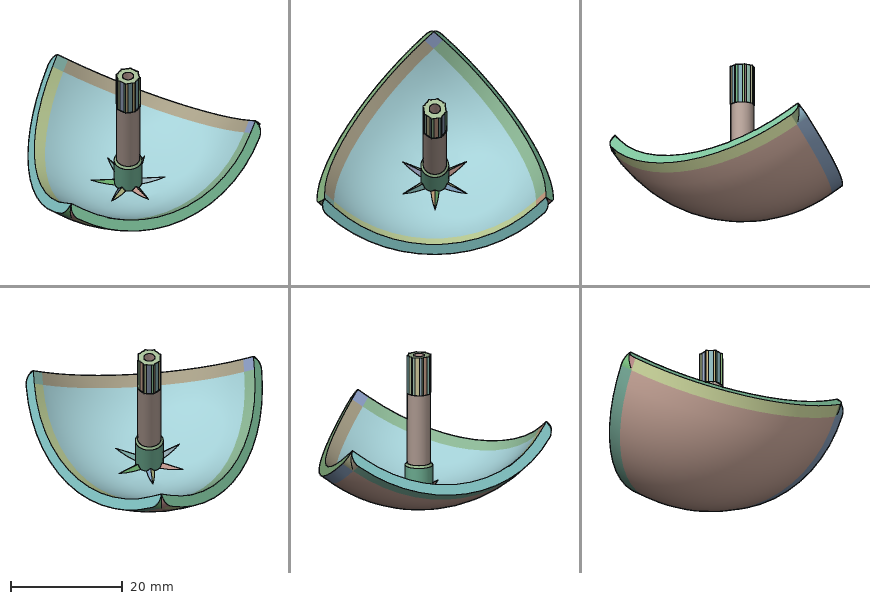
import cadquery as cq
import math

outer_radius = 27.6
wall = 2.0
inner_radius = outer_radius - wall
rim_width = 2.4

stem_top = 0.2
shaft_radius = 4.2 / 2
collar_radius = 5.0 / 2
collar_shoulder = -20.25
collar_chamfer = collar_radius - shaft_radius
stem_bottom = -(inner_radius + wall / 2)

head_length = 7.05
tooth_count = 8
tooth_tip_radius = 2.228
tooth_root_radius = 1.975
tooth_half_angle = math.radians(10)
bore_diameter = 2.0

rib_count = 6
rib_reach = 6.6
ridge_height = -math.sqrt(inner_radius**2 - rib_reach**2)


def polar(radius, angle):
    return (radius * math.cos(angle), radius * math.sin(angle))


def octant_shell():
    """Sphere wall in the all-positive octant."""
    octant = cq.Workplane("XY").box(outer_radius * 2, outer_radius * 2, outer_radius * 2, centered=False)
    ball = cq.Workplane("XY").sphere(outer_radius)
    cavity = cq.Workplane("XY").sphere(inner_radius)
    return ball.cut(cavity).intersect(octant)


def rim_strip():
    """Quarter ring below the XY plane, with tangent ends rounded on the outside."""
    round_centre = outer_radius - rim_width
    end_length = math.sqrt(rim_width**2 - (inner_radius - round_centre) ** 2)
    half_turn = math.asin(end_length / rim_width) / 2
    mid_along, mid_beyond = polar(rim_width, half_turn)
    mid_along += round_centre
    diagonal = math.radians(45)
    return (
        cq.Workplane("XY")
        .moveTo(outer_radius, 0)
        .threePointArc(polar(outer_radius, diagonal), (0, outer_radius))
        .threePointArc((-mid_beyond, mid_along), (-end_length, inner_radius))
        .lineTo(0, inner_radius)
        .threePointArc(polar(inner_radius, diagonal), (inner_radius, 0))
        .lineTo(inner_radius, -end_length)
        .threePointArc((mid_along, -mid_beyond), (outer_radius, 0))
        .close()
        .extrude(-rim_width)
    )


def shell():
    """Octant with three rim strips, turned so its diagonal points to -Z and one corner to -X."""
    body = octant_shell()
    strip = rim_strip()
    for turn in range(3):
        body = body.union(strip.rotate((0, 0, 0), (1, 1, 1), 120 * turn))
    diagonal_tilt = 180 - math.degrees(math.acos(1 / math.sqrt(3)))
    return (
        body.rotate((0, 0, 0), (0, 0, 1), -45)
        .rotate((0, 0, 0), (0, 1, 0), diagonal_tilt)
        .rotate((0, 0, 0), (0, 0, 1), 180)
    )


def stem():
    """Shaft and chamfered collar, revolved about Z."""
    return (
        cq.Workplane("XZ")
        .moveTo(0, stem_bottom)
        .lineTo(collar_radius, stem_bottom)
        .lineTo(collar_radius, collar_shoulder)
        .lineTo(shaft_radius, collar_shoulder + collar_chamfer)
        .lineTo(shaft_radius, stem_top - head_length)
        .lineTo(0, stem_top - head_length)
        .close()
        .revolve(360, (0, 0, 0), (0, 1, 0))
    )


def toothed_head():
    """Round core with pointed teeth and a blind bore from the top."""
    base = cq.Workplane("XY").workplane(offset=stem_top - head_length)
    head = base.circle(tooth_root_radius).extrude(head_length)
    tooth = (
        base.polyline([
            (0, 0),
            polar(tooth_root_radius, -tooth_half_angle),
            (tooth_tip_radius, 0),
            polar(tooth_root_radius, tooth_half_angle),
        ])
        .close()
        .extrude(head_length)
    )
    for index in range(tooth_count):
        head = head.union(tooth.rotate((0, 0, 0), (0, 0, 1), 360 / tooth_count * index))
    bore = base.circle(bore_diameter / 2).extrude(head_length)
    return head.cut(bore)


def ribs():
    """Radial triangular prisms that run out where their ridges meet the inner sphere."""
    depth = ridge_height - stem_bottom
    rib = (
        cq.Workplane("YZ")
        .polyline([(0, ridge_height), (-depth, stem_bottom), (depth, stem_bottom)])
        .close()
        .extrude(rib_reach)
    )
    star = rib
    for index in range(1, rib_count):
        star = star.union(rib.rotate((0, 0, 0), (0, 0, 1), 360 / rib_count * index))
    return star


result = shell().union(stem()).union(toothed_head()).union(ribs())